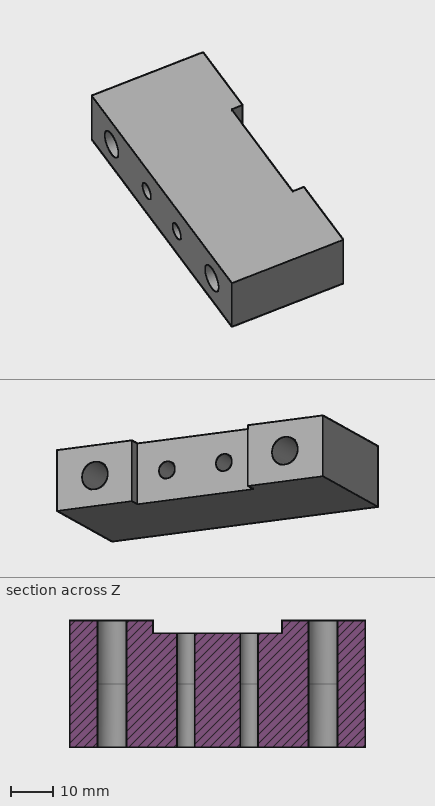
import cadquery as cq

length = 70.0
depth = 30.0
height = 15.0

notch_width = 30.5
notch_depth = 3.0

outer_hole_diameter = 6.8
outer_hole_spacing = 50.0
inner_hole_diameter = 4.2
inner_hole_spacing = 15.0


def hole_pair(diameter, spacing):
    """Two cylinders along Y, longer than the block is deep."""
    return (
        cq.Workplane("XZ")
        .pushPoints([(-spacing / 2, 0), (spacing / 2, 0)])
        .circle(diameter / 2)
        .extrude(depth, both=True)
    )


block = cq.Workplane("XY").box(length, depth, height)

notch = (
    cq.Workplane("XY")
    .box(notch_width, 2 * notch_depth, height)
    .translate((0, depth / 2, 0))
)

result = (
    block.cut(notch)
    .cut(hole_pair(outer_hole_diameter, outer_hole_spacing))
    .cut(hole_pair(inner_hole_diameter, inner_hole_spacing))
)